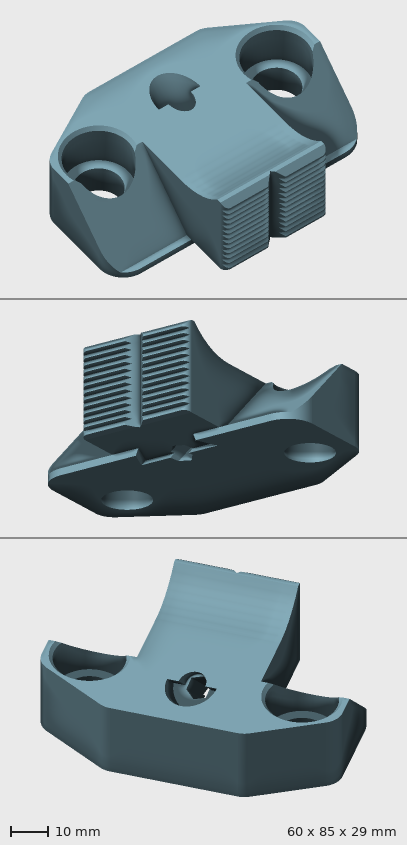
import cadquery as cq
import math

base_width = 85.0
base_length = 45.0
base_height = 22.0
total_length = 60.0
total_height = 29.0

heel_slope = 60.0
heel_corner_x = 13.2
heel_fillet = 6.0
toe_fillet = 8.0

foot_height = 2.0
pad_thickness = 2.0
incline_top_x = base_length - pad_thickness - (base_height - foot_height)
guide_top_x = incline_top_x + pad_thickness

mount_x = 20.0
mount_y = 30.0
mount_hole_diameter = 14.0
mount_counterbore_diameter = 20.0
mount_floor_z = 9.0
mount_chamfer = 1.0

dovetail_width = 25.0
dovetail_depth = 6.0
dovetail_angle = 60.0
dovetail_neck = dovetail_width - 2 * dovetail_depth / math.tan(math.radians(dovetail_angle))
dovetail_back_x = guide_top_x - dovetail_depth * math.sqrt(2)
screw_bore_diameter = 14.0
screw_bore_depth = 8.6
jaw_screw_bore_diameter = 7.5
hex_corner_diameter = 6.8
hex_turn = 12.0

jaw_width = 35.0
jaw_top_length = 1.4
jaw_fillet = 2.0
throat_start_x = 40.2
notch_depth = 3.0

tooth_count = 12
tooth_depth = 1.4
tooth_upper_drop = 1.3
tooth_lower_drop = 0.4
first_root_z = 4.3
last_root_z = 26.35
tooth_pitch = (last_root_z - first_root_z) / (tooth_count - 1)
bottom_flank_length = 2.0
crown_bevel_length = 2.0
crown_bevel_drop = 1.6

slide_plane = cq.Plane(origin=(dovetail_back_x, 0, base_height), xDir=(0, 1, 0), normal=(1, 0, -1))
slide_reach = 2 * base_width


def side_prism(points, width):
    """Extrude an X-Z polygon symmetrically about the middle plane."""
    return cq.Workplane("XZ").polyline(points).close().extrude(width / 2, both=True)


def dovetail_bar():
    """Dovetail section run along the slide, past both ends of the part."""
    half_back = dovetail_width / 2
    half_neck = dovetail_neck / 2
    outline = [
        (-half_back, 0),
        (half_back, 0),
        (half_neck, dovetail_depth),
        (-half_neck, dovetail_depth),
    ]
    return cq.Workplane(slide_plane).polyline(outline).close().extrude(slide_reach, both=True)


def screw_bore(diameter):
    """Round bore along the slide, from above the part down to the hexagonal hole."""
    start = cq.Workplane(slide_plane).workplane(offset=-slide_reach)
    return start.circle(diameter / 2).extrude(slide_reach + screw_bore_depth)


def hex_hole():
    """Hexagonal hole along the slide, out through the underside."""
    corner_angle = 90 + hex_turn
    start = cq.Workplane(slide_plane).transformed(rotate=(0, 0, corner_angle))
    return start.polygon(6, hex_corner_diameter).extrude(slide_reach)


def base_blank():
    half_width = base_width / 2
    heel_corner_y = half_width - heel_corner_x * math.tan(math.radians(heel_slope))
    outline = [
        (0, -heel_corner_y),
        (heel_corner_x, -half_width),
        (base_length, -half_width),
        (base_length, half_width),
        (heel_corner_x, half_width),
        (0, heel_corner_y),
    ]
    blank = cq.Workplane("XY").polyline(outline).close().extrude(base_height)
    blank = blank.edges("|Z and (not >X)").fillet(heel_fillet)
    return blank.edges("|Z and >X").fillet(toe_fillet)


def above_incline(top_x, width):
    """Everything in front of a 45 degree face that ends at the foot."""
    rise = base_height - foot_height
    points = [
        (top_x, base_height),
        (top_x + rise, foot_height),
        (total_length, foot_height),
        (total_length, base_height),
    ]
    return side_prism(points, width)


def make_base():
    base = base_blank()

    pad_keep = cq.Workplane("XY").box(total_length, jaw_width, base_height, centered=(False, True, False))
    base = base.cut(above_incline(incline_top_x, base_width).cut(pad_keep))
    base = base.cut(above_incline(guide_top_x, jaw_width))

    bore_radius = mount_counterbore_diameter / 2
    for y in (-mount_y, mount_y):
        at_hole = cq.Workplane("XY").center(mount_x, y)
        base = base.cut(at_hole.circle(mount_hole_diameter / 2).extrude(base_height))
        base = base.cut(at_hole.workplane(offset=mount_floor_z).circle(bore_radius).extrude(base_height))
        chamfer_cone = cq.Solid.makeCone(
            bore_radius, bore_radius + mount_chamfer, mount_chamfer,
            pnt=cq.Vector(mount_x, y, base_height - mount_chamfer))
        base = base.cut(cq.Workplane(chamfer_cone))

    base = base.cut(dovetail_bar())
    base = base.cut(screw_bore(screw_bore_diameter))
    return base.cut(hex_hole())


def jaw_blank():
    crown_end_x = total_length - crown_bevel_length
    throat_end_x = crown_end_x - jaw_top_length
    run = throat_end_x - throat_start_x
    rise = total_height - base_height
    throat_radius = (run**2 + rise**2) / (2 * rise)
    half_angle = math.atan2(run, throat_radius - rise) / 2
    throat_mid = (
        throat_start_x + throat_radius * math.sin(half_angle),
        base_height + throat_radius * (1 - math.cos(half_angle)),
    )
    blank = (
        cq.Workplane("XZ")
        .moveTo(guide_top_x, base_height)
        .lineTo(throat_start_x, base_height)
        .threePointArc(throat_mid, (throat_end_x, total_height))
        .lineTo(total_length, total_height)
        .lineTo(total_length, foot_height)
        .lineTo(guide_top_x + base_height - foot_height, foot_height)
        .close()
        .extrude(jaw_width / 2, both=True)
    )
    return blank.edges("|Z and >X").fillet(jaw_fillet)


def tooth_gaps():
    """Uneven V prisms: a sloping upper flank below each root, a nearly level lower flank above it."""
    root_x = total_length - tooth_depth
    gaps = []
    for i in range(tooth_count):
        root_z = first_root_z + i * tooth_pitch
        gaps.append(side_prism([
            (root_x, root_z),
            (total_length, root_z + tooth_lower_drop),
            (total_length, root_z - tooth_upper_drop),
        ], jaw_width))
    return gaps


def make_jaw():
    jaw = jaw_blank()

    jaw = jaw.cut(side_prism([
        (total_length - crown_bevel_length, total_height),
        (total_length, total_height),
        (total_length, total_height - crown_bevel_drop),
    ], jaw_width))

    jaw = jaw.cut(side_prism([
        (total_length - bottom_flank_length, foot_height),
        (total_length, foot_height),
        (total_length, foot_height + tooth_lower_drop),
    ], jaw_width))

    for gap in tooth_gaps():
        jaw = jaw.cut(gap)

    groove = [
        (total_length - notch_depth, 0),
        (total_length, -notch_depth),
        (total_length, notch_depth),
    ]
    jaw = jaw.cut(cq.Workplane("XY").polyline(groove).close().extrude(total_height))

    tongue_zone = (
        cq.Workplane("XY").workplane(offset=foot_height)
        .rect(2 * total_length, base_width).extrude(base_height - foot_height)
    )
    jaw = jaw.union(dovetail_bar().intersect(tongue_zone))
    jaw = jaw.cut(screw_bore(jaw_screw_bore_diameter))
    return jaw.cut(hex_hole())


base = make_base()
jaw = make_jaw()
result = cq.Compound.makeCompound([base.solids().val(), jaw.solids().val()])